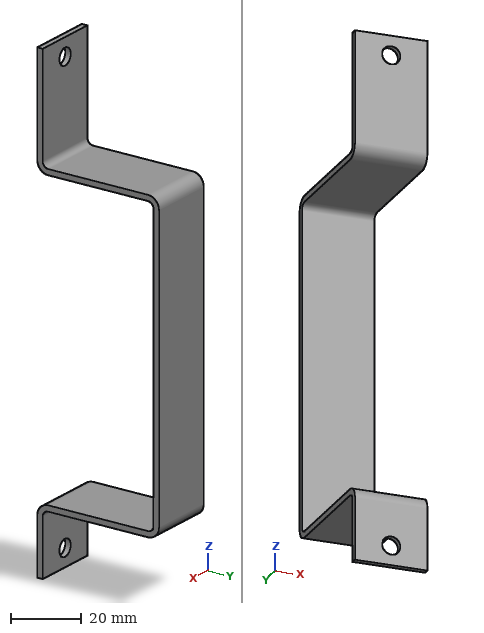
import cadquery as cq

length = 161.0
width = 22.0
depth = 42.0
thickness = 2.0
inner_radius = 2.0
lower_flange = 21.0
upper_flange = 36.0
hole_diameter = 5.5
hole_edge_distance = 6.0

outer_radius = inner_radius + thickness
bottom = -length / 2
top = length / 2
front = -depth / 2
back = depth / 2
lower_leg = bottom + lower_flange
upper_leg = top - upper_flange


def strip_profile():
    """Hat-shaped section in the YZ plane with sharp corners."""
    points = [
        (front, bottom),
        (front + thickness, bottom),
        (front + thickness, lower_leg),
        (back, lower_leg),
        (back, upper_leg),
        (front + thickness, upper_leg),
        (front + thickness, top),
        (front, top),
        (front, upper_leg - thickness),
        (back - thickness, upper_leg - thickness),
        (back - thickness, lower_leg + thickness),
        (front, lower_leg + thickness),
    ]
    return cq.Workplane("YZ").polyline(points).close()


def round_bend(body, inside, outside):
    """Round the inside and outside corners, given as (y, z), of one bend."""
    for (y, z), radius in ((inside, inner_radius), (outside, outer_radius)):
        corner = cq.selectors.NearestToPointSelector((0, y, z))
        body = body.edges("|X").edges(corner).fillet(radius)
    return body


strip = strip_profile().extrude(width / 2, both=True)

for leg, inward in ((lower_leg, 1), (upper_leg, -1)):
    leg_inner = leg + inward * thickness
    strip = round_bend(strip, (front + thickness, leg), (front, leg_inner))
    strip = round_bend(strip, (back - thickness, leg_inner), (back, leg))

for hole_z in (bottom + hole_edge_distance, top - hole_edge_distance):
    drill = (
        cq.Workplane("XZ", origin=(0, front + thickness, hole_z))
        .circle(hole_diameter / 2)
        .extrude(thickness)
    )
    strip = strip.cut(drill)

result = strip